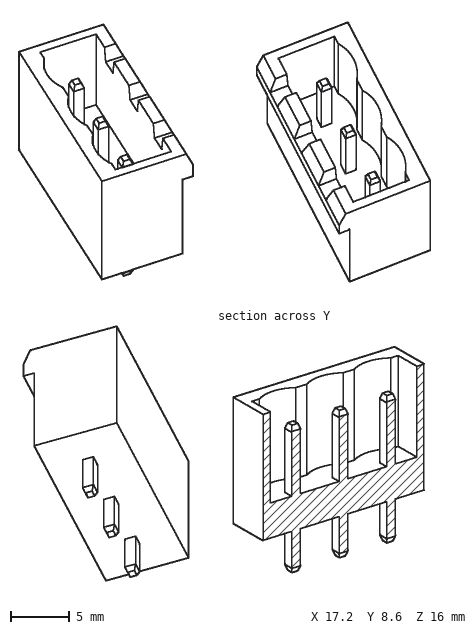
import cadquery as cq

length = 17.24
body_depth = 7.62
body_height = 12.0

lip_overhang = 0.98
lip_height = 2.98
lip_bevel_depth = 0.62
lip_bevel_height = 1.55
rear_face = body_depth + lip_overhang

end_wall = 0.81
front_wall = 1.64
cavity_rear = 6.91
floor_thickness = 3.38
cavity_depth = body_height - floor_thickness
scallop_width = 3.9
scallop_depth = 0.59

notch_top_width = 1.98
notch_bottom_width = 1.5
notch_depth = 1.55

pin_count = 3
pin_pitch = 5.07
pin_y = 3.83
pin_width = 1.0
pin_tip_width = 0.62
pin_tip_length = 0.55
pin_tail = 4.0
pin_top = 10.0
pin_positions = [
    length / 2 + (i - (pin_count - 1) / 2) * pin_pitch for i in range(pin_count)
]


def make_housing():
    """Side profile of the body and its bevelled lip, extruded along X."""
    return (
        cq.Workplane("YZ")
        .moveTo(0, 0)
        .lineTo(body_depth, 0)
        .lineTo(body_depth, body_height - lip_height)
        .lineTo(rear_face, body_height - lip_height)
        .lineTo(rear_face, body_height - lip_bevel_height)
        .lineTo(rear_face - lip_bevel_depth, body_height)
        .lineTo(0, body_height)
        .close()
        .extrude(length)
    )


def make_cavity():
    """Rectangular cavity whose front wall has one arc scallop per pin."""
    outline = cq.Workplane("XY", origin=(0, 0, floor_thickness)).moveTo(end_wall, front_wall)
    for x in pin_positions:
        outline = outline.lineTo(x - scallop_width / 2, front_wall).threePointArc(
            (x, front_wall - scallop_depth), (x + scallop_width / 2, front_wall)
        )
    return (
        outline.lineTo(length - end_wall, front_wall)
        .lineTo(length - end_wall, cavity_rear)
        .lineTo(end_wall, cavity_rear)
        .close()
        .extrude(cavity_depth)
    )


def make_notch(x):
    """Trapezoidal notch running from the cavity out through the lip."""
    return (
        cq.Workplane("XZ", origin=(x, rear_face, body_height))
        .moveTo(-notch_top_width / 2, 0)
        .lineTo(-notch_bottom_width / 2, -notch_depth)
        .lineTo(notch_bottom_width / 2, -notch_depth)
        .lineTo(notch_top_width / 2, 0)
        .close()
        .extrude(rear_face - cavity_rear)
    )


def make_pin_tip(x, base_z, direction):
    """Square taper; direction is +1 for an upper tip and -1 for a lower one."""
    return (
        cq.Workplane("XY", origin=(x, pin_y, base_z))
        .rect(pin_width, pin_width)
        .workplane(offset=direction * pin_tip_length)
        .rect(pin_tip_width, pin_tip_width)
        .loft()
    )


def make_pin(x):
    """Square pin with a tapered tip at each end."""
    shank_bottom = pin_tip_length - pin_tail
    shank_top = pin_top - pin_tip_length
    shank = (
        cq.Workplane("XY", origin=(x, pin_y, shank_bottom))
        .rect(pin_width, pin_width)
        .extrude(shank_top - shank_bottom)
    )
    return shank.union(make_pin_tip(x, shank_top, 1)).union(make_pin_tip(x, shank_bottom, -1))


result = make_housing().cut(make_cavity())
for pin_x in pin_positions:
    result = result.cut(make_notch(pin_x))
    result = result.union(make_pin(pin_x))